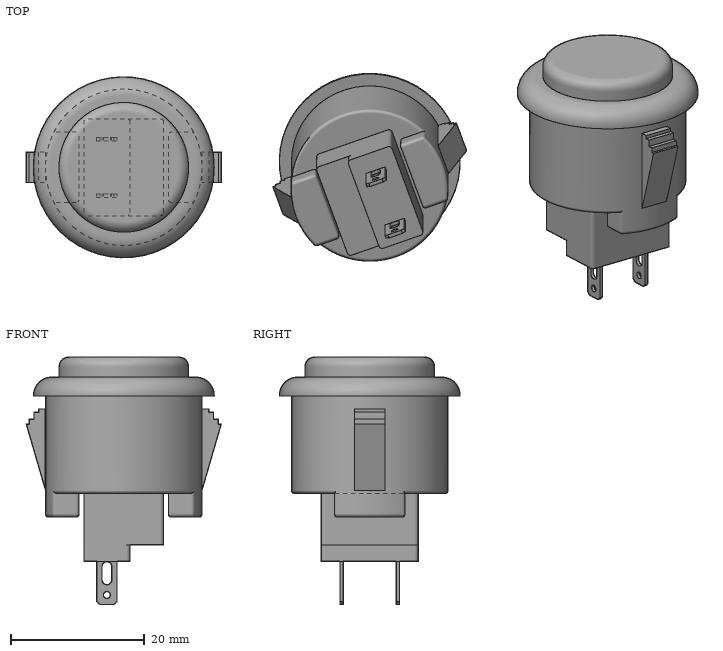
import cadquery as cq


TOTAL_HEIGHT = 37.2

PLUNGER_DIAMETER = 19.5
PLUNGER_HEIGHT = 3.0
PLUNGER_ROUNDING = 1.5

FLANGE_DIAMETER = 27.2
FLANGE_HEIGHT = 2.85
FLANGE_ROUNDING = 2.8
BARREL_DIAMETER = 23.5
BARREL_DEPTH = 14.65
LEG_LENGTH = 3.55
LEG_WIDTH = 10.55
LEG_GAP = 13.4
BARREL_EDGE_ROUNDING = 0.5

LATCH_WIDTH = 4.58
LATCH_REACH = 14.65
LATCH_STEP_RUN = 0.7
LATCH_FIRST_STEP_REACH = 12.8
LATCH_STEP_DEPTHS = [1.95, 2.4, 3.45, 4.2]
LATCH_BOTTOM_DEPTH = 14.17

SWITCH_LENGTH = 12.0
SWITCH_WIDTH = 14.6
SWITCH_BOTTOM_DEPTH = 24.8
SWITCH_STEP_X = 0.95
SWITCH_STEP_HEIGHT = 2.45
SWITCH_CORNER_ROUNDING = 0.52

TERMINAL_X = -2.53
TERMINAL_SPACING = 8.5
TERMINAL_WIDTH = 3.1
TERMINAL_THICKNESS = 0.52
TERMINAL_CHAMFER = 0.5
TERMINAL_HOLE_DIAMETER = 1.0
TERMINAL_HOLE_FROM_TIP = 1.45
TERMINAL_SLOT_WIDTH = 1.45
TERMINAL_SLOT_LENGTH = 3.42
TERMINAL_SLOT_FROM_BLOCK = 0.07

BARREL_BOTTOM_Z = -BARREL_DEPTH
LEG_BOTTOM_Z = BARREL_BOTTOM_Z - LEG_LENGTH
SWITCH_BOTTOM_Z = -SWITCH_BOTTOM_DEPTH
TERMINAL_TIP_Z = FLANGE_HEIGHT + PLUNGER_HEIGHT - TOTAL_HEIGHT
TERMINAL_LENGTH = SWITCH_BOTTOM_Z - TERMINAL_TIP_Z


def make_plunger():
    """Round cap with a rounded top rim, resting on the flange."""
    base = cq.Workplane("XY").workplane(offset=FLANGE_HEIGHT)
    cap = base.circle(PLUNGER_DIAMETER / 2).extrude(PLUNGER_HEIGHT)
    return cap.faces(">Z").edges().fillet(PLUNGER_ROUNDING)


def make_flange():
    """Flange with a large rounding on its upper rim."""
    flange = cq.Workplane("XY").circle(FLANGE_DIAMETER / 2).extrude(FLANGE_HEIGHT)
    return flange.faces(">Z").edges().fillet(FLANGE_ROUNDING)


def make_barrel():
    """Barrel cut back at its lower end so that a leg remains on each X side, lower edges rounded."""
    barrel = cq.Workplane("XY").circle(BARREL_DIAMETER / 2).extrude(LEG_BOTTOM_Z)
    leg_band = cq.Workplane("XY").box(BARREL_DIAMETER, LEG_WIDTH, LEG_LENGTH, centered=(True, True, False))
    gap = cq.Workplane("XY").box(LEG_GAP, LEG_WIDTH, LEG_LENGTH, centered=(True, True, False))
    cutback = (
        cq.Workplane("XY")
        .box(BARREL_DIAMETER, BARREL_DIAMETER, LEG_LENGTH, centered=(True, True, False))
        .cut(leg_band.cut(gap))
        .translate((0, 0, LEG_BOTTOM_Z))
    )
    barrel = barrel.cut(cutback)

    margin = BARREL_EDGE_ROUNDING / 2
    leg_edges = cq.selectors.BoxSelector(
        (-BARREL_DIAMETER, -BARREL_DIAMETER, LEG_BOTTOM_Z - margin),
        (BARREL_DIAMETER, BARREL_DIAMETER, BARREL_BOTTOM_Z - margin),
    )
    half_gap = LEG_GAP / 2
    rim_edges = [
        cq.selectors.BoxSelector(
            (-half_gap, side * BARREL_DIAMETER / 4, BARREL_BOTTOM_Z - margin),
            (half_gap, side * BARREL_DIAMETER, BARREL_BOTTOM_Z + margin),
        )
        for side in (-1, 1)
    ]
    rounded_edges = leg_edges + rim_edges[0] + rim_edges[1]
    return barrel.edges(rounded_edges).fillet(BARREL_EDGE_ROUNDING)


def make_latch(angle):
    """Snap latch touching the barrel along a line: a staircase at the top and a ramp below."""
    barrel_radius = BARREL_DIAMETER / 2
    step_reaches = [LATCH_FIRST_STEP_REACH + i * LATCH_STEP_RUN for i in range(len(LATCH_STEP_DEPTHS) - 1)]
    inner_reaches = [barrel_radius] + step_reaches
    outer_reaches = step_reaches + [LATCH_REACH]
    outline = []
    for inner, outer, depth in zip(inner_reaches, outer_reaches, LATCH_STEP_DEPTHS):
        outline.append((inner, -depth))
        outline.append((outer, -depth))
    outline.append((barrel_radius, -LATCH_BOTTOM_DEPTH))
    latch = cq.Workplane("XZ").polyline(outline).close().extrude(LATCH_WIDTH / 2, both=True)
    return latch.rotate((0, 0, 0), (0, 0, 1), angle)


def make_terminal(y):
    """Flat terminal centred at the given Y, with chamfered tip corners, a slot and a hole."""
    blade = (
        cq.Workplane("XY")
        .box(TERMINAL_WIDTH, TERMINAL_THICKNESS, TERMINAL_LENGTH, centered=(True, True, False))
        .faces("<Z").edges("|Y").chamfer(TERMINAL_CHAMFER)
    )
    slot_z = TERMINAL_LENGTH - TERMINAL_SLOT_FROM_BLOCK - TERMINAL_SLOT_LENGTH / 2
    slot = (
        cq.Workplane("XZ").center(0, slot_z)
        .slot2D(TERMINAL_SLOT_LENGTH, TERMINAL_SLOT_WIDTH, 90)
        .extrude(TERMINAL_THICKNESS, both=True)
    )
    hole = (
        cq.Workplane("XZ").center(0, TERMINAL_HOLE_FROM_TIP)
        .circle(TERMINAL_HOLE_DIAMETER / 2)
        .extrude(TERMINAL_THICKNESS, both=True)
    )
    return blade.cut(slot).cut(hole).translate((TERMINAL_X, y, TERMINAL_TIP_Z))


def make_switch():
    """Stepped switch block under the barrel, with its two terminals."""
    half_length = SWITCH_LENGTH / 2
    step_z = SWITCH_BOTTOM_Z + SWITCH_STEP_HEIGHT
    outline = [
        (-half_length, BARREL_BOTTOM_Z),
        (half_length, BARREL_BOTTOM_Z),
        (half_length, step_z),
        (SWITCH_STEP_X, step_z),
        (SWITCH_STEP_X, SWITCH_BOTTOM_Z),
        (-half_length, SWITCH_BOTTOM_Z),
    ]
    switch = cq.Workplane("XZ").polyline(outline).close().extrude(SWITCH_WIDTH / 2, both=True)
    switch = switch.edges("|Z and (>Y or <Y)").fillet(SWITCH_CORNER_ROUNDING)
    for side in (-1, 1):
        switch = switch.union(make_terminal(side * TERMINAL_SPACING / 2))
    return switch


def make_button():
    """Plunger, flange, barrel with legs, and switch, as one solid."""
    return make_plunger().union(make_flange()).union(make_barrel()).union(make_switch())


button = make_button()
latches = [make_latch(angle) for angle in (0, 180)]

result = cq.Compound.makeCompound([button.val(), *[latch.val() for latch in latches]])